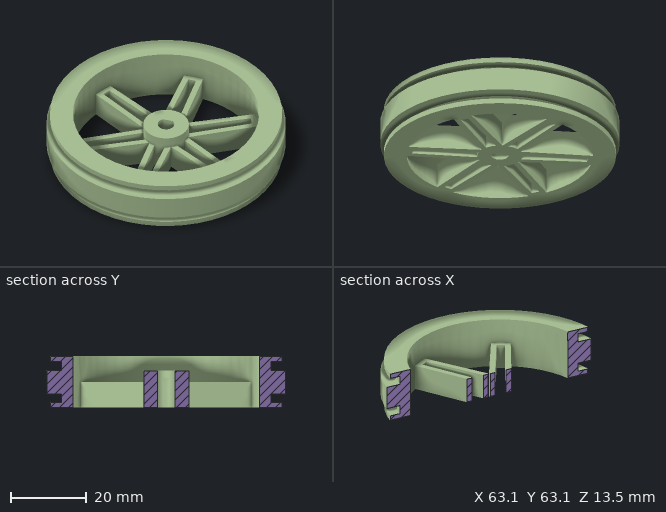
import cadquery as cq

tread_radius = 31.55
flange_radius = 30.6
groove_radius = 27.7
rim_inner_radius = 24.55
tread_width = 6.3
groove_width = 2.2
flange_width = 1.4
rim_width = tread_width + 2 * (groove_width + flange_width)
bottom_z = -rim_width / 2

hub_radius = 6.0
hub_height = 9.8
bore_radius = 2.2
bore_flat_offset = 1.7

spoke_count = 6
spoke_height = rim_width / 2
spoke_inner_width = 5.9
spoke_outer_width = 5.2
spoke_wall = 1.5
slot_end_radius = 23.15
spoke_start_radius = 5.35
spoke_end_radius = 24.9


def cylinder(radius, height, base_z):
    return cq.Workplane("XY").workplane(offset=base_z).circle(radius).extrude(height)


def tapered_bar(start_width, end_width, start_radius, end_radius):
    """Bar along +X, symmetric about the X axis, narrowing linearly."""
    return (
        cq.Workplane("XY")
        .workplane(offset=bottom_z)
        .moveTo(start_radius, -start_width / 2)
        .lineTo(end_radius, -end_width / 2)
        .lineTo(end_radius, end_width / 2)
        .lineTo(start_radius, start_width / 2)
        .close()
        .extrude(spoke_height)
    )


def make_rim():
    body = cylinder(groove_radius, rim_width, bottom_z)
    body = body.union(cylinder(tread_radius, tread_width, -tread_width / 2))
    for flange_z in (bottom_z, -bottom_z - flange_width):
        body = body.union(cylinder(flange_radius, flange_width, flange_z))
    return body.cut(cylinder(rim_inner_radius, rim_width, bottom_z))


def make_spoke():
    outside = tapered_bar(spoke_inner_width, spoke_outer_width, spoke_start_radius, spoke_end_radius)
    slot = tapered_bar(
        spoke_inner_width - 2 * spoke_wall,
        spoke_outer_width - 2 * spoke_wall,
        spoke_start_radius,
        slot_end_radius,
    )
    return outside.cut(slot)


def make_bore():
    round_bore = cylinder(bore_radius, hub_height, bottom_z)
    below_flat = (
        cq.Workplane("XY")
        .workplane(offset=bottom_z)
        .center(0, bore_flat_offset - bore_radius)
        .rect(2 * bore_radius, 2 * bore_radius)
        .extrude(hub_height)
    )
    return round_bore.intersect(below_flat)


result = make_rim().union(cylinder(hub_radius, hub_height, bottom_z))
spoke = make_spoke()
spoke_pitch = 360 / spoke_count
for index in range(spoke_count):
    angle = spoke_pitch * (index + 0.5)
    result = result.union(spoke.rotate((0, 0, 0), (0, 0, 1), angle))
result = result.cut(make_bore())